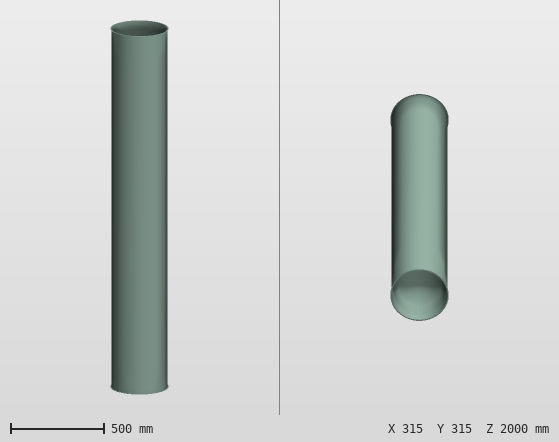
import cadquery as cq

length = 2000.0
bore_diameter = 300.0
sheet_thickness = 1.0
rim_diameter = 315.0

tube_diameter = bore_diameter + 2 * sheet_thickness


def ring(outer_diameter, bottom, height):
    """Ring around the Z axis with the tube's bore, standing on height bottom."""
    return (
        cq.Workplane("XY", origin=(0, 0, bottom))
        .circle(outer_diameter / 2)
        .circle(bore_diameter / 2)
        .extrude(height)
    )


result = ring(tube_diameter, 0, length)

for rim_bottom in (0, length - sheet_thickness):
    result = result.union(ring(rim_diameter, rim_bottom, sheet_thickness))